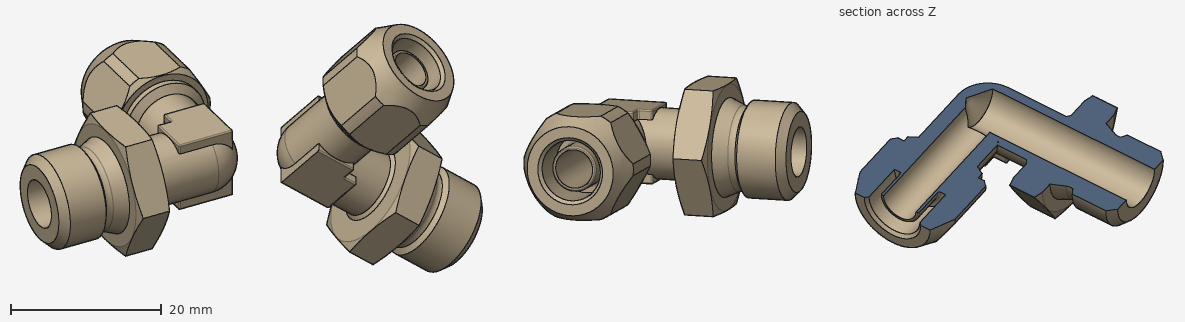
import cadquery as cq
import math


OVERALL_WIDTH = 32.3
HEX_FLATS = 17.0
HEX_CORNER_RADIUS = HEX_FLATS / 2 / math.cos(math.radians(30))

BODY_RADIUS = 4.75

TUBE_LEG_LENGTH = OVERALL_WIDTH - HEX_CORNER_RADIUS
SHOULDER_START = 9.37
SHOULDER_LENGTH = 1.6
SHOULDER_RIM_LENGTH = 0.87
SHOULDER_RADIUS = 5.98

NUT_FLATS = 14.0
NUT_CORNER_RADIUS = 7.65
NUT_BACK_RADIUS = 6.9
NUT_FRONT_RADIUS = 6.0
NUT_FRONT_ANGLE = 25.0

SOCKET_RADIUS = 4.07
SOCKET_DEPTH = 6.45
SOCKET_MOUTH_RADIUS = 4.52
SOCKET_MOUTH_DEPTH = 0.45
SLEEVE_RADIUS = 3.05
SLEEVE_ROOT_FILLET = 0.25
SLEEVE_TIP_ROUND = 0.2
SLEEVE_SETBACK = 1.68
TUBE_BORE_RADIUS = 2.6

HEX_BACK = 9.8
HEX_FRONT = 14.5
HEX_FACE_RADIUS = 8.43
HEX_BEVEL_ANGLE = 15.0
FLARE_LENGTH = 0.4
FLARE_RADIUS = 5.3
SEAL_CONE_RADIUS = 6.65
SEAL_CONE_LENGTH = 1.97
NECK_START_RADIUS = 5.78
NECK_END_RADIUS = 5.7
NECK_LENGTH = 0.97
NECK_BEVEL_LENGTH = 0.52
THREAD_RADIUS = 6.53
THREAD_BEVEL = 1.13
STUD_LEG_LENGTH = 24.5
STUD_BORE_RADIUS = 3.33
STUD_BORE_OVERRUN = 1.45
DRILL_POINT_ANGLE = 118.0

PAD_HEIGHT = 5.0
PAD_MAX = 3.0
PAD_MIN = -5.05
PAD_NOTCH = 2.05
PAD_ROUND = 0.2


def turned(stations):
    """Solid of revolution about X through (distance, radius) stations."""
    first = stations[0][0]
    last = stations[-1][0]
    outline = [(first, 0)] + stations + [(last, 0)]
    return cq.Workplane("XY").polyline(outline).close().revolve(360, (0, 0), (1, 0))


def hexagon(flats, start, end):
    """Hexagonal prism along X with flats facing +Z and -Z."""
    corners = flats / math.cos(math.radians(30))
    return cq.Workplane("YZ").workplane(offset=start).polygon(6, corners).extrude(end - start)


def union_nut():
    back = SHOULDER_START + SHOULDER_LENGTH
    back_bevel = NUT_CORNER_RADIUS - NUT_BACK_RADIUS
    front_drop = NUT_CORNER_RADIUS - NUT_FRONT_RADIUS
    front_bevel = front_drop / math.tan(math.radians(NUT_FRONT_ANGLE))
    envelope = turned([
        (back, NUT_BACK_RADIUS),
        (back + back_bevel, NUT_CORNER_RADIUS),
        (TUBE_LEG_LENGTH - front_bevel, NUT_CORNER_RADIUS),
        (TUBE_LEG_LENGTH, NUT_FRONT_RADIUS),
    ])
    return hexagon(NUT_FLATS, back, TUBE_LEG_LENGTH).intersect(envelope)


def tube_leg():
    shoulder_end = SHOULDER_START + SHOULDER_LENGTH
    stem = turned([
        (0, BODY_RADIUS),
        (SHOULDER_START, BODY_RADIUS),
        (shoulder_end - SHOULDER_RIM_LENGTH, SHOULDER_RADIUS),
        (shoulder_end, SHOULDER_RADIUS),
    ])
    return stem.union(union_nut())


def tube_passage():
    """Tube socket around the support sleeve, and the bore through the sleeve."""
    floor = TUBE_LEG_LENGTH - SOCKET_DEPTH
    sleeve_tip = TUBE_LEG_LENGTH - SLEEVE_SETBACK
    socket = turned([
        (floor, SOCKET_RADIUS),
        (TUBE_LEG_LENGTH - SOCKET_MOUTH_DEPTH, SOCKET_RADIUS),
        (TUBE_LEG_LENGTH, SOCKET_MOUTH_RADIUS),
    ])
    sleeve = (
        cq.Workplane("XY")
        .moveTo(sleeve_tip, 0)
        .lineTo(sleeve_tip, SLEEVE_RADIUS - SLEEVE_TIP_ROUND)
        .tangentArcPoint((sleeve_tip - SLEEVE_TIP_ROUND, SLEEVE_RADIUS), relative=False)
        .lineTo(floor + SLEEVE_ROOT_FILLET, SLEEVE_RADIUS)
        .tangentArcPoint((floor, SLEEVE_RADIUS + SLEEVE_ROOT_FILLET), relative=False)
        .lineTo(floor, 0)
        .close()
        .revolve(360, (0, 0), (1, 0))
    )
    bore = turned([
        (0, TUBE_BORE_RADIUS),
        (sleeve_tip, TUBE_BORE_RADIUS),
    ])
    return socket.cut(sleeve).union(bore)


def stud_hex():
    bevel = (HEX_CORNER_RADIUS - HEX_FACE_RADIUS) * math.tan(math.radians(HEX_BEVEL_ANGLE))
    envelope = turned([
        (HEX_BACK, HEX_FACE_RADIUS),
        (HEX_BACK + bevel, HEX_CORNER_RADIUS),
        (HEX_FRONT - bevel, HEX_CORNER_RADIUS),
        (HEX_FRONT, HEX_FACE_RADIUS),
    ])
    return hexagon(HEX_FLATS, HEX_BACK, HEX_FRONT).intersect(envelope)


def stud_leg():
    neck_start = HEX_FRONT + SEAL_CONE_LENGTH
    neck_end = neck_start + NECK_LENGTH
    stem = (
        cq.Workplane("XY")
        .lineTo(0, BODY_RADIUS)
        .lineTo(HEX_BACK - FLARE_LENGTH, BODY_RADIUS)
        .lineTo(HEX_BACK, FLARE_RADIUS)
        .lineTo(HEX_FRONT, SEAL_CONE_RADIUS)
        .lineTo(neck_start, NECK_START_RADIUS)
        .tangentArcPoint((neck_end, NECK_END_RADIUS), relative=False)
        .lineTo(neck_end + NECK_BEVEL_LENGTH, THREAD_RADIUS)
        .lineTo(STUD_LEG_LENGTH - THREAD_BEVEL, THREAD_RADIUS)
        .lineTo(STUD_LEG_LENGTH, THREAD_RADIUS - THREAD_BEVEL)
        .lineTo(STUD_LEG_LENGTH, 0)
        .close()
        .revolve(360, (0, 0), (1, 0))
    )
    return stem.union(stud_hex())


def stud_bore():
    """Drilled hole that runs past the elbow centre and ends in a drill point."""
    point_length = STUD_BORE_RADIUS / math.tan(math.radians(DRILL_POINT_ANGLE / 2))
    return (
        cq.Workplane("XY")
        .moveTo(-STUD_BORE_OVERRUN - point_length, 0)
        .lineTo(-STUD_BORE_OVERRUN, STUD_BORE_RADIUS)
        .lineTo(STUD_LEG_LENGTH, STUD_BORE_RADIUS)
        .lineTo(STUD_LEG_LENGTH, 0)
        .close()
        .revolve(360, (0, 0), (1, 0))
    )


def wrench_pads():
    """L-shaped pads, rounded except along their +Y side."""
    notch = PAD_MIN + PAD_NOTCH
    pads = (
        cq.Workplane("XY")
        .workplane(offset=-PAD_HEIGHT)
        .moveTo(PAD_MIN, PAD_MAX)
        .lineTo(PAD_MAX, PAD_MAX)
        .lineTo(PAD_MAX, PAD_MIN)
        .lineTo(notch, PAD_MIN)
        .lineTo(notch, notch)
        .lineTo(PAD_MIN, notch)
        .close()
        .extrude(2 * PAD_HEIGHT)
    )
    pads = pads.edges("|Z").edges("not >Y").fillet(PAD_ROUND)
    pads = pads.faces("<Z or >Z").edges("not >Y").fillet(PAD_ROUND)
    return pads


def along_minus_x(leg):
    return leg.rotate((0, 0, 0), (0, 0, 1), 180)


def along_minus_y(leg):
    return leg.rotate((0, 0, 0), (0, 0, 1), -90)


outer_corner = cq.Workplane("XY").sphere(BODY_RADIUS)

result = (
    along_minus_y(stud_leg())
    .union(along_minus_x(tube_leg()))
    .union(outer_corner)
    .union(wrench_pads())
    .cut(along_minus_y(stud_bore()))
    .cut(along_minus_x(tube_passage()))
)